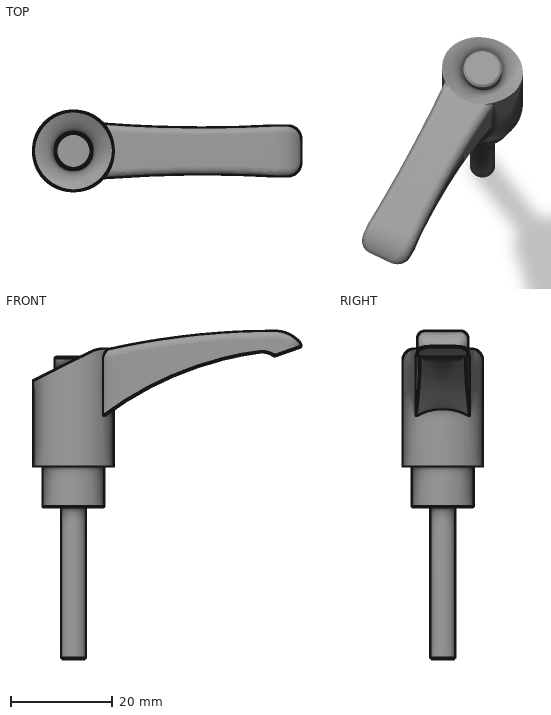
import cadquery as cq
import math

total_height = 64.9
stud_diameter = 5.0
stud_chamfer = 0.4
collar_diameter = 12.3
collar_bottom = 30.0
collar_chamfer = 0.25
hub_diameter = 16.0
hub_radius = hub_diameter / 2
hub_bottom = 38.05

hub_low_edge = 55.05
slope_angle = math.atan(0.5)
crest_x = 6.05
crest_radius = 5.65
slope_end_x = crest_x - crest_radius * math.sin(slope_angle)
slope_end_z = hub_low_edge + (slope_end_x + hub_radius) * math.tan(slope_angle)
crest_center_z = slope_end_z - crest_radius * math.cos(slope_angle)

rim_width = 0.2
pin_diameter = 7.5
pin_top = 59.8
pin_chamfer = 0.4
dish_floor_diameter = 7.6
dish_floor_z = 56.6
dish_floor_slope = 0.3
dish_overshoot = 1.2

lever_end = 53.0 - hub_radius
lever_root_x = 3.9
lever_root_top = 60.55
lever_root_bottom = 46.3
underside_middle = (21.15, 56.5)
underside_end = (36.7, 60.55)
grip_lip_z = 59.8
tip_bottom = 61.65
tip_top = 62.2
lever_root_half_width = 5.6
lever_waist_x = 27.9
lever_waist_half_width = 4.7
lever_tip_start = 39.7
lever_tip_half_width = 5.05
tip_corner_radius = 2.85
upper_rounding = 1.55
lower_chamfer = 0.25


def hub_top_height(x):
    """Height of the hub's top surface at a given x."""
    if x <= slope_end_x:
        return hub_low_edge + (x + hub_radius) * math.tan(slope_angle)
    return crest_center_z + math.sqrt(crest_radius**2 - (x - crest_x) ** 2)


def cylinder(diameter, bottom, top):
    return cq.Workplane("XY").workplane(offset=bottom).circle(diameter / 2).extrude(top - bottom)


def make_hub():
    side = (
        cq.Workplane("XZ")
        .moveTo(-hub_radius, hub_bottom)
        .lineTo(-hub_radius, hub_low_edge)
        .lineTo(slope_end_x, slope_end_z)
        .threePointArc(
            (crest_x, crest_center_z + crest_radius),
            (hub_radius, hub_top_height(hub_radius)),
        )
        .lineTo(hub_radius, hub_bottom)
        .close()
        .extrude(hub_radius, both=True)
    )
    return cylinder(hub_diameter, hub_bottom, total_height).intersect(side)


def closed_curve(radius, height):
    """Closed wire above a circle in plan, with its height given as a function of x."""

    def point(turn):
        angle = 2 * math.pi * turn
        x = radius * math.cos(angle)
        return (x, radius * math.sin(angle), height(x))

    return cq.Workplane("XY").parametricCurve(point, N=80).wires().val()


def make_dish():
    """Ruled bowl from a tilted floor up through the hub rim, open upwards."""
    floor_radius = dish_floor_diameter / 2
    rim_radius = hub_radius - rim_width
    mouth_radius = floor_radius + dish_overshoot * (rim_radius - floor_radius)

    def floor_height(x):
        return dish_floor_z + dish_floor_slope * x

    def mouth_height(x):
        turn_cosine = x / mouth_radius
        start = floor_height(floor_radius * turn_cosine)
        return start + dish_overshoot * (hub_top_height(rim_radius * turn_cosine) - start)

    floor = closed_curve(floor_radius, floor_height)
    mouth = closed_curve(mouth_radius, mouth_height)
    lid = closed_curve(mouth_radius, lambda x: total_height)
    faces = [
        cq.Face.makeFromWires(floor),
        cq.Face.makeRuledSurface(floor, mouth),
        cq.Face.makeRuledSurface(mouth, lid),
        cq.Face.makeFromWires(lid),
    ]
    return cq.Workplane(cq.Solid.makeSolid(cq.Shell.makeShell(faces)).fix())


def crown_arc_middle(end_x, end_z):
    """Middle of an arc that is level at the lever's highest point and ends at the given point."""
    run = end_x - lever_tip_start
    drop = total_height - end_z
    radius = (run**2 + drop**2) / (2 * drop)
    half_turn = math.asin(run / radius) / 2
    return (
        lever_tip_start + radius * math.sin(half_turn),
        total_height - radius * (1 - math.cos(half_turn)),
    )


def long_side_edges(body, lowest, highest):
    """Edges running along the lever's sides with their middles between two heights."""

    tolerance = 0.05

    def chosen(edge):
        middle = edge.positionAt(0.5)
        runs_along = abs(edge.startPoint().x - edge.endPoint().x) > tolerance
        return runs_along and abs(middle.y) > tip_corner_radius / 2 and lowest < middle.z < highest

    return [edge for edge in body.edges().vals() if chosen(edge)]


def make_lever():
    side = (
        cq.Workplane("XZ")
        .moveTo(lever_root_x, lever_root_top)
        .lineTo(lever_root_x, lever_root_bottom)
        .threePointArc(underside_middle, underside_end)
        .tangentArcPoint((lever_tip_start, grip_lip_z), relative=False)
        .lineTo(lever_end, tip_bottom)
        .lineTo(lever_end, tip_top)
        .threePointArc(crown_arc_middle(lever_end, tip_top), (lever_tip_start, total_height))
        .threePointArc(crown_arc_middle(lever_root_x, lever_root_top), (lever_root_x, lever_root_top))
        .close()
        .extrude(hub_radius, both=True)
    )
    corner_x = lever_end - tip_corner_radius
    plan = (
        cq.Workplane("XY")
        .moveTo(lever_root_x, -lever_root_half_width)
        .threePointArc(
            (lever_waist_x, -lever_waist_half_width), (lever_tip_start, -lever_tip_half_width)
        )
        .lineTo(corner_x, -lever_tip_half_width)
        .radiusArc((lever_end, tip_corner_radius - lever_tip_half_width), -tip_corner_radius)
        .lineTo(lever_end, lever_tip_half_width - tip_corner_radius)
        .radiusArc((corner_x, lever_tip_half_width), -tip_corner_radius)
        .lineTo(lever_tip_start, lever_tip_half_width)
        .threePointArc(
            (lever_waist_x, lever_waist_half_width), (lever_root_x, lever_root_half_width)
        )
        .close()
        .extrude(total_height)
    )
    lever = side.intersect(plan)
    lever = lever.newObject(long_side_edges(lever, lever_root_bottom, tip_bottom)).chamfer(lower_chamfer)
    lever = lever.newObject(long_side_edges(lever, tip_top, total_height)).fillet(upper_rounding)
    return lever.cut(cylinder(hub_diameter, hub_bottom, total_height))


pin = cylinder(pin_diameter, hub_bottom, pin_top).faces(">Z").chamfer(pin_chamfer)
stud = cylinder(stud_diameter, 0, hub_bottom).faces("<Z").chamfer(stud_chamfer)
collar = cylinder(collar_diameter, collar_bottom, hub_bottom).faces("<Z").chamfer(collar_chamfer)
lever = make_lever()
hub = make_hub().cut(make_dish())
result = hub.union(lever).union(pin).union(collar).union(stud)